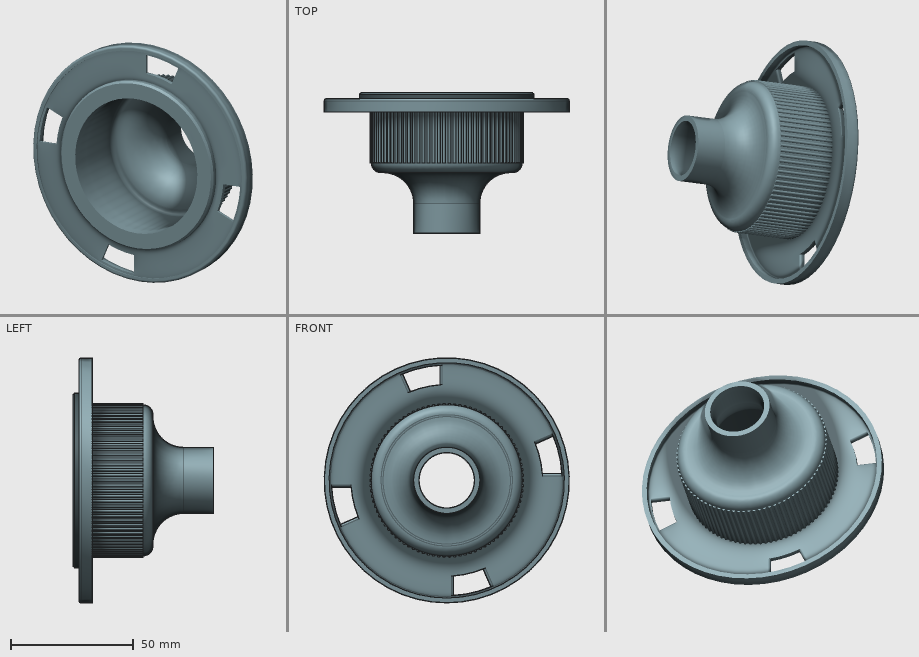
import cadquery as cq
import math

total_length = 57.5

flange_radius = 50.0
flange_rear = 2.5
flange_front = 8.0
web_rear = 3.0
web_front = 5.0
rim_inner_radius = 48.0
rim_floor_round = 0.5
rim_round = 1.0
rim_rear_inner_radius = 48.0

pilot_radius = 35.7
pilot_chamfer = 0.8

wall = 2.25
drum_radius = 30.8
shoulder_radius = 4.0
shoulder_front = 32.7
neck_radius = 13.5
flare_radius = 12.5
neck_start = shoulder_front + flare_radius

rib_count = 90
rib_radius = 0.6
rib_front = shoulder_front - shoulder_radius

window_count = 4
window_inner_radius = 39.1
window_outer_radius = 47.0
window_round = 1.0
window_start_offset = 1.85 + window_round
window_end_angle = 23.7
window_end_offset = -window_round


def revolve(profile):
    """Revolve a profile drawn as (radius, Y) about the Y axis."""
    solid = profile.close().revolve(360, (0, 0, 0), (0, 1, 0))
    return solid.rotate((0, 0, 0), (0, 1, 0), 90)


def arc_middle(center_r, center_y, radius, angle):
    """Point on an arc, with the angle measured from the +radius direction toward +Y."""
    a = math.radians(angle)
    return (center_r + radius * math.cos(a), center_y + radius * math.sin(a))


def body_profile(offset, rear, front):
    """Outline of the body, moved inward by the given wall offset."""
    drum = drum_radius - offset
    neck = neck_radius - offset
    face = -(shoulder_front - offset)
    corner = shoulder_radius - offset
    flare = flare_radius + offset
    corner_r = drum - corner
    corner_y = face + corner
    flare_r = neck + flare
    flare_y = -neck_start
    return (
        cq.Workplane("XY")
        .moveTo(0, -rear)
        .lineTo(drum, -rear)
        .lineTo(drum, corner_y)
        .threePointArc(arc_middle(corner_r, corner_y, corner, -45), (corner_r, face))
        .lineTo(flare_r, face)
        .threePointArc(arc_middle(flare_r, flare_y, flare, 135), (neck, flare_y))
        .lineTo(neck, -front)
        .lineTo(0, -front)
    )


def make_flange():
    rim_round_middle = arc_middle(flange_radius - rim_round, -flange_rear - rim_round, rim_round, 45)
    floor_round_center = (rim_inner_radius - rim_floor_round, -web_front - rim_floor_round)
    floor_round_middle = arc_middle(*floor_round_center, rim_floor_round, 45)
    profile = (
        cq.Workplane("XY")
        .moveTo(0, 0)
        .lineTo(pilot_radius - pilot_chamfer, 0)
        .lineTo(pilot_radius, -pilot_chamfer)
        .lineTo(pilot_radius, -web_rear)
        .lineTo(rim_rear_inner_radius, -web_rear)
        .lineTo(rim_rear_inner_radius, -flange_rear)
        .lineTo(flange_radius - rim_round, -flange_rear)
        .threePointArc(rim_round_middle, (flange_radius, -flange_rear - rim_round))
        .lineTo(flange_radius, -flange_front)
        .lineTo(rim_inner_radius, -flange_front)
        .lineTo(rim_inner_radius, -web_front - rim_floor_round)
        .threePointArc(floor_round_middle, (rim_inner_radius - rim_floor_round, -web_front))
        .lineTo(0, -web_front)
    )
    return revolve(profile)


def window_point(radius, angle, offset=0):
    """Point at a radius, on a line parallel to the radial direction at this angle from +Z toward -X."""
    a = math.radians(angle) + math.asin(offset / radius)
    return (-radius * math.sin(a), radius * math.cos(a))


def make_window_cutter():
    """One window, bounded by two arcs and two straight ends."""
    middle = window_end_angle / 2
    start_inner = window_point(window_inner_radius, 0, window_start_offset)
    start_outer = window_point(window_outer_radius, 0, window_start_offset)
    end_outer = window_point(window_outer_radius, window_end_angle, window_end_offset)
    end_inner = window_point(window_inner_radius, window_end_angle, window_end_offset)
    return (
        cq.Workplane("XZ", origin=(0, -web_rear, 0))
        .moveTo(*start_inner)
        .lineTo(*start_outer)
        .threePointArc(window_point(window_outer_radius, middle), end_outer)
        .lineTo(*end_inner)
        .threePointArc(window_point(window_inner_radius, middle), start_inner)
        .close()
        .extrude(web_front - web_rear)
    )


def cut_windows(flange):
    """Cut the windows and round the front edges of their straight ends."""
    window = make_window_cutter()
    for i in range(window_count):
        flange = flange.cut(window.rotate((0, 0, 0), (0, 1, 0), i * 360 / window_count))
    tolerance = 0.01
    web_face = cq.selectors.BoxSelector(
        (-flange_radius, -web_front - tolerance, -flange_radius),
        (flange_radius, -web_front + tolerance, flange_radius),
    )
    return flange.edges("%LINE").edges(web_face).fillet(window_round)


def make_ribs():
    """Round bars centered on the drum surface, so that half of each stands proud."""
    rib = (
        cq.Workplane("XZ", origin=(0, -web_front, 0))
        .center(drum_radius, 0)
        .circle(rib_radius)
        .extrude(rib_front - web_front)
        .val()
    )
    ribs = [rib.rotate((0, 0, 0), (0, 1, 0), i * 360 / rib_count) for i in range(rib_count)]
    return cq.Workplane("XY").newObject(ribs).combine()


flange = cut_windows(make_flange())
shell = revolve(body_profile(0, web_front, total_length))
cavity = revolve(body_profile(wall, 0, total_length))
result = flange.union(shell).union(make_ribs()).cut(cavity)